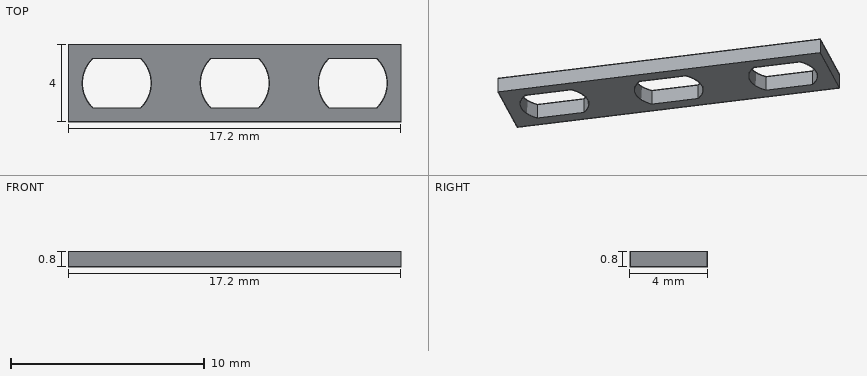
import cadquery as cq

plate_length = 17.2
plate_width = 4.0
plate_thickness = 0.8

hole_count = 3
hole_pitch = 6.1
hole_diameter = 3.55
hole_across_flats = 2.55


def make_plate():
    """Flat rectangular strip, centred on X and Y, resting on Z = 0."""
    return cq.Workplane("XY").box(
        plate_length, plate_width, plate_thickness, centered=(True, True, False)
    )


def make_hole_cutter(center_x):
    """Round through-hole shape with two flats parallel to X."""
    cylinder = cq.Workplane("XY").circle(hole_diameter / 2).extrude(plate_thickness)
    between_flats = cq.Workplane("XY").rect(hole_diameter, hole_across_flats).extrude(plate_thickness)
    return cylinder.intersect(between_flats).translate((center_x, 0, 0))


result = make_plate()
for index in range(hole_count):
    hole_x = (index - (hole_count - 1) / 2) * hole_pitch
    result = result.cut(make_hole_cutter(hole_x))